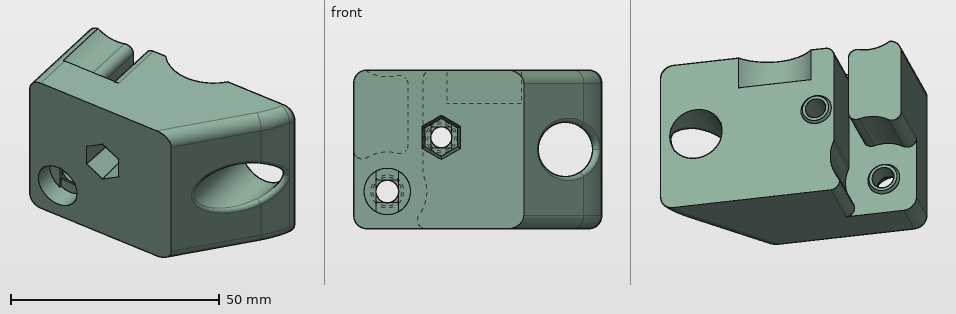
import cadquery as cq
import math

LENGTH = 59.68
DEPTH = 25.4
HEIGHT = 38.19
CORNER_RADIUS = 3.2
PLATE_THICKNESS = 10.4
OVERSHOOT = 1.0
TOLERANCE = 1e-3

RAMP_START_X = 40.9
RAMP_ANGLE = 50.2
RAMP_END_Y = 17.3
NOSE_END = (59.33, 23.7)
LIP_THICKNESS = 0.5

EYE_CENTER = (50.9, 19.1)
EYE_RADIUS = 6.5
EYE_EDGE_RADIUS = 1.0

SCREW_CENTER = (8.1, 9.0)
SCREW_HOLE_DIAMETER = 5.4
HEAD_DIAMETER = 11.15
HEAD_DEPTH = 5.0

NUT_CENTER = (21.08, 22.0)
NUT_HOLE_DIAMETER = 5.0
NUT_FLATS = 9.2
NUT_FLATS_INNER = 7.85
NUT_DEPTH = 15.0

BRIDGE_STEP = 0.5

SEAT_TAPER = 0.5
NUT_SEAT_RADIUS = 3.75
NUT_SEAT_HEIGHT = 0.7
SCREW_SEAT_RADIUS = 3.95
SCREW_SEAT_HEIGHT = 0.8

CLEARANCE_RADIUS = 9.5
UPPER_CLEARANCE_CENTER = (SCREW_CENTER[0], 46.05)
SLOT_LEFT = 13.1
SLOT_RIGHT = 16.7
NOTCH_FILLET = 2.1

RELIEF_CENTER = (31.35, 32.7)
RELIEF_RADIUS = 11.55
RELIEF_DEPTH = 8.0


def along_y(center, y):
    """Sketch plane at depth y, centred on (X, Z), extruding toward +Y."""
    return cq.Workplane(cq.Plane((center[0], y, center[1]), (1, 0, 0), (0, 1, 0)))


def cylinder_y(center, radius, y_start, y_end):
    """Cylinder parallel to Y about the (X, Z) centre."""
    return along_y(center, y_start).circle(radius).extrude(y_end - y_start)


def box_between(low, high):
    """Box spanning two opposite corners."""
    size = [end - start for start, end in zip(low, high)]
    return cq.Workplane("XY").box(*size, centered=False).translate(low)


def make_block():
    """Plan outline raised to full height, with rounded edges along both ends."""
    ramp_end_x = RAMP_START_X + RAMP_END_Y / math.tan(math.radians(RAMP_ANGLE))
    block = (
        cq.Workplane("XY")
        .lineTo(RAMP_START_X, 0)
        .lineTo(ramp_end_x, RAMP_END_Y)
        .tangentArcPoint(NOSE_END, relative=False)
        .lineTo(LENGTH, DEPTH - LIP_THICKNESS)
        .lineTo(LENGTH, DEPTH)
        .lineTo(0, DEPTH)
        .close()
        .extrude(HEIGHT)
    )

    def on_sloped_end(edge):
        middle = edge.Center()
        is_level = abs(edge.startPoint().z - edge.endPoint().z) < TOLERANCE
        between_faces = TOLERANCE < middle.y < DEPTH - TOLERANCE
        return is_level and between_faces and middle.x > RAMP_START_X

    left_edges = block.edges("|Y and <X").vals()
    sloped_edges = [edge for edge in block.edges().vals() if on_sloped_end(edge)]
    return block.newObject(left_edges + sloped_edges).fillet(CORNER_RADIUS)


def cut_eye(body):
    """Bore the eye through the sloped end and round its front rim."""
    body = body.cut(cylinder_y(EYE_CENTER, EYE_RADIUS, -OVERSHOOT, DEPTH + OVERSHOOT))

    def on_front_rim(edge):
        middle = edge.Center()
        distance = math.hypot(middle.x - EYE_CENTER[0], middle.z - EYE_CENTER[1])
        is_front = middle.y < DEPTH - TOLERANCE
        return is_front and distance < EYE_RADIUS and edge.geomType() != "LINE"

    rim = [edge for edge in body.edges().vals() if on_front_rim(edge)]
    return body.newObject(rim).fillet(EYE_EDGE_RADIUS)


def cut_notches(body):
    """Clear the back around the screw, leaving a free-standing post at the upper left."""
    floor = PLATE_THICKNESS
    back = DEPTH + OVERSHOOT
    screw_x, screw_z = SCREW_CENTER
    around_screw = cylinder_y(SCREW_CENTER, CLEARANCE_RADIUS, floor, back)
    corner = box_between((-OVERSHOOT, floor, -OVERSHOOT), (screw_x, back, screw_z))
    slot = box_between((SLOT_LEFT, floor, screw_z), (SLOT_RIGHT, back, HEIGHT + OVERSHOOT))
    above_post = cylinder_y(UPPER_CLEARANCE_CENTER, CLEARANCE_RADIUS, floor, back)
    body = body.cut(around_screw.union(corner).union(slot).union(above_post))

    def on_notch_corner(edge):
        bounds = edge.BoundingBox()
        middle = edge.Center()
        starts_at_floor = abs(bounds.ymin - floor) < TOLERANCE
        ends_at_back = abs(bounds.ymax - DEPTH) < TOLERANCE
        beside_slot = middle.x > SLOT_LEFT - TOLERANCE
        low = middle.z < HEIGHT / 2
        left_of_body = middle.x < SLOT_RIGHT + TOLERANCE
        return starts_at_floor and ends_at_back and left_of_body and (beside_slot or low)

    corners = [edge for edge in body.edges("|Y").vals() if on_notch_corner(edge)]
    return body.newObject(corners).fillet(NOTCH_FILLET)


def cut_relief(body):
    """Scoop the top edge of the back face down to a flat floor."""
    tool = (
        cq.Workplane("XY", origin=(*RELIEF_CENTER, HEIGHT - RELIEF_DEPTH))
        .circle(RELIEF_RADIUS)
        .extrude(RELIEF_DEPTH + OVERSHOOT)
    )
    return body.cut(tool)


def seat(center, base_radius, height, y):
    """Low cone standing on the surface at depth y."""
    return (
        along_y(center, y)
        .circle(base_radius)
        .workplane(offset=height)
        .circle(base_radius - SEAT_TAPER)
        .loft()
    )


def stepped_hole(center, recess, floor_y, recess_width, diameter):
    """Hole tool: recess, then a slot-wide layer, a square layer and the bore."""
    slot = along_y(center, floor_y).rect(diameter, 2 * recess_width).extrude(BRIDGE_STEP)
    recess_outline = recess.faces(">Y").wires().toPending().extrude(BRIDGE_STEP)
    square = along_y(center, floor_y).rect(diameter, diameter).extrude(2 * BRIDGE_STEP)
    bore = cylinder_y(center, diameter / 2, floor_y, DEPTH + OVERSHOOT)
    return recess.union(slot.intersect(recess_outline)).union(square).union(bore)


def screw_hole_tool():
    recess = cylinder_y(SCREW_CENTER, HEAD_DIAMETER / 2, 0, HEAD_DEPTH)
    return stepped_hole(SCREW_CENTER, recess, HEAD_DEPTH, HEAD_DIAMETER, SCREW_HOLE_DIAMETER)


def hexagon(flats):
    """Corners of a hexagon standing on a point."""
    radius = flats / math.sqrt(3)
    angles = [math.radians(30 + 60 * i) for i in range(6)]
    return [(radius * math.cos(angle), radius * math.sin(angle)) for angle in angles]


def nut_hole_tool():
    recess = (
        along_y(NUT_CENTER, 0)
        .polyline(hexagon(NUT_FLATS))
        .close()
        .workplane(offset=NUT_DEPTH)
        .polyline(hexagon(NUT_FLATS_INNER))
        .close()
        .loft(ruled=True)
    )
    return stepped_hole(NUT_CENTER, recess, NUT_DEPTH, NUT_FLATS, NUT_HOLE_DIAMETER)


body = make_block()
body = cut_eye(body)
body = cut_notches(body)
body = cut_relief(body)
body = body.union(seat(NUT_CENTER, NUT_SEAT_RADIUS, NUT_SEAT_HEIGHT, DEPTH))
body = body.union(seat(SCREW_CENTER, SCREW_SEAT_RADIUS, SCREW_SEAT_HEIGHT, PLATE_THICKNESS))
result = body.cut(nut_hole_tool()).cut(screw_hole_tool())